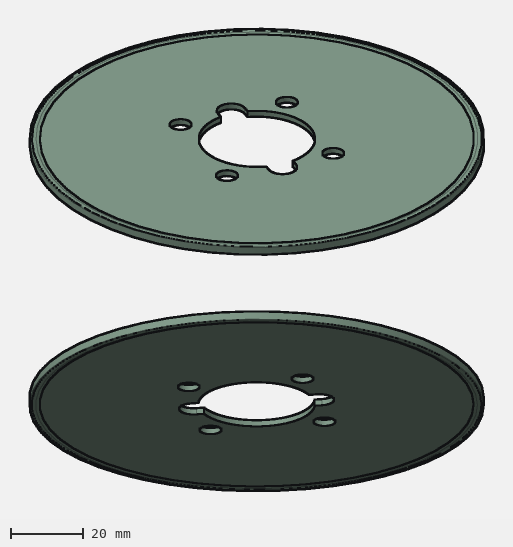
import cadquery as cq

tyre_diameter = 125.0
tyre_thickness = 2.5
tyre_inner_diameter = 119.4
shoulder_diameter = 121.5
flank_rise = 0.1
lip_radius = 6.2
edge_rounding = 0.1

disc_diameter = 123.8
disc_thickness = 1.9

bore_diameter = 32.0
slot_length = 43.2
slot_width = 8.0
bolt_hole_diameter = 6.0
bolt_spacing = 31.9

mid_height = tyre_thickness / 2
disc_bottom = mid_height - disc_thickness / 2


def make_disc_blank():
    """Plain disc that fills the seat in the tyre."""
    return cq.Workplane("XY").workplane(offset=disc_bottom).circle(disc_diameter / 2).extrude(disc_thickness)


def make_disc():
    """Flat disc with a central bore, two opposite slots and four bolt holes."""
    return (
        make_disc_blank()
        .faces(">Z")
        .workplane()
        .hole(bore_diameter)
        .faces(">Z")
        .workplane()
        .slot2D(slot_length, slot_width)
        .cutThruAll()
        .faces(">Z")
        .workplane()
        .rect(bolt_spacing, bolt_spacing, forConstruction=True)
        .vertices()
        .hole(bolt_hole_diameter)
    )


def make_tyre():
    """Revolved ring with matching flanks on both sides and a seat cut for the disc."""
    inner_radius = tyre_inner_diameter / 2
    shoulder_radius = shoulder_diameter / 2
    outer_radius = tyre_diameter / 2
    flank_end_radius = outer_radius - edge_rounding
    disc_top = disc_bottom + disc_thickness

    ring = (
        cq.Workplane("XZ")
        .moveTo(flank_end_radius, 0)
        .radiusArc((outer_radius, edge_rounding), -edge_rounding)
        .lineTo(outer_radius, tyre_thickness - edge_rounding)
        .radiusArc((flank_end_radius, tyre_thickness), -edge_rounding)
        .lineTo(shoulder_radius, tyre_thickness - flank_rise)
        .radiusArc((inner_radius, disc_top), -lip_radius)
        .lineTo(inner_radius, disc_bottom)
        .radiusArc((shoulder_radius, flank_rise), -lip_radius)
        .close()
        .revolve(360, (0, 0, 0), (0, 1, 0))
    )
    return ring.cut(make_disc_blank())


disc = make_disc()
tyre = make_tyre()
result = cq.Compound.makeCompound([disc.val(), tyre.val()])